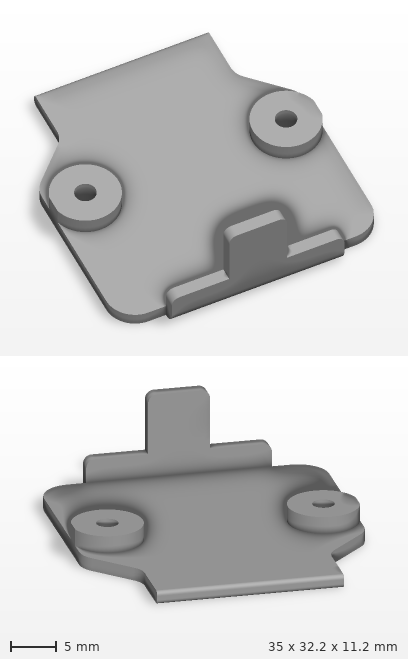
import cadquery as cq

length = 35.0
width = 32.2
thickness = 1.5
tongue_width = 21.15
shoulder_start_x = 6.85
neck_radius = 2.5
shoulder_radius = 3.0
corner_radius = 3.5
front_edge_radius = 0.5

boss_x = 16.52
boss_spacing = 24.45
boss_diameter = 8.05
boss_top = 3.45
hole_diameter = 2.5

tab_base_width = 21.0
tab_base_top = 4.2
tab_width = 7.0
tab_top = 11.2
tab_corner_radius = 0.98

plate_end_x = length - thickness
shoulder_end_x = shoulder_start_x + (width - tongue_width) / 2


def edges_near(x):
    """Selector for the plate's upright edges at the given X."""
    reach = thickness / 4
    return cq.selectors.BoxSelector((x - reach, -width, 0), (x + reach, width, thickness))


def make_plate():
    """Flat plate with a narrow tongue and a rounded leading edge."""
    half_width = width / 2
    half_tongue = tongue_width / 2
    lower_outline = [
        (0, -half_tongue),
        (shoulder_start_x, -half_tongue),
        (shoulder_end_x, -half_width),
        (plate_end_x, -half_width),
    ]
    upper_outline = [(x, -y) for x, y in reversed(lower_outline)]
    plate = cq.Workplane("XY").polyline(lower_outline + upper_outline).close().extrude(thickness)

    plate = plate.edges(edges_near(shoulder_start_x)).fillet(neck_radius)
    plate = plate.edges(edges_near(shoulder_end_x)).fillet(shoulder_radius)
    plate = plate.edges("|Z and >X").fillet(corner_radius)
    return plate.faces("<X").edges("|Y").fillet(front_edge_radius)


def make_bosses(diameter, height):
    """Pair of upright cylinders at the boss centres."""
    centres = [(boss_x, -boss_spacing / 2), (boss_x, boss_spacing / 2)]
    return cq.Workplane("XY").pushPoints(centres).circle(diameter / 2).extrude(height)


def tab_block(block_width, height):
    """Upright block on the end of the plate with rounded upper corners."""
    block = cq.Workplane("XY").box(thickness, block_width, height, centered=(False, True, False))
    block = block.translate((plate_end_x, 0, 0))
    return block.edges("|X and >Z").fillet(tab_corner_radius)


def make_tab():
    """Stepped tab whose lower outer edge is rounded like a sheet-metal bend."""
    tab = tab_block(tab_base_width, tab_base_top).union(tab_block(tab_width, tab_top))
    bend_cutter = (
        cq.Workplane("XZ")
        .moveTo(plate_end_x, 0)
        .lineTo(length, 0)
        .lineTo(length, thickness)
        .radiusArc((plate_end_x, 0), thickness)
        .close()
        .extrude(tab_base_width / 2, both=True)
    )
    return tab.cut(bend_cutter)


width_limit = cq.Workplane("XY").box(length, width, boss_top, centered=(False, True, False))
bosses = make_bosses(boss_diameter, boss_top).intersect(width_limit)
holes = make_bosses(hole_diameter, boss_top)

result = make_plate().union(bosses).union(make_tab()).cut(holes)